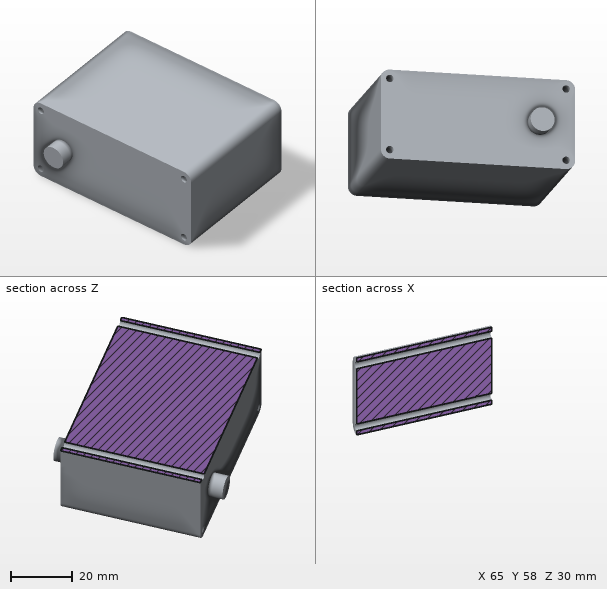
import cadquery as cq

width = 65.0
height = 30.0
overall_depth = 58.0
boss_length = 5.0
body_depth = overall_depth - 2 * boss_length
corner_radius = 3.0

hole_diameter = 2.5
hole_spacing_x = width - 2 * corner_radius
hole_spacing_z = height - 2 * corner_radius

boss_diameter = 8.0
boss_x = -20.5


def make_body():
    """Box with its four long edges (along Y) rounded."""
    return cq.Workplane("XY").box(width, body_depth, height).edges("|Y").fillet(corner_radius)


def drill_corner_holes(body):
    """Through holes along Y at the centres of the corner rounds."""
    return (
        body.faces("<Y")
        .workplane(origin=(0, 0, 0))
        .rect(hole_spacing_x, hole_spacing_z, forConstruction=True)
        .vertices()
        .hole(hole_diameter)
    )


def make_bosses():
    """One cylinder through the body that stands out equally at both ends."""
    return (
        cq.Workplane("XZ")
        .center(boss_x, 0)
        .circle(boss_diameter / 2)
        .extrude(overall_depth / 2, both=True)
    )


result = drill_corner_holes(make_body()).union(make_bosses())